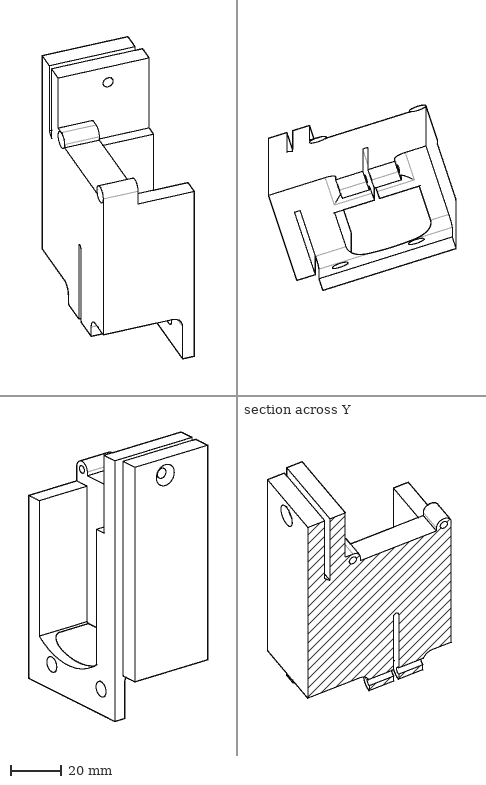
import cadquery as cq
import math

width = 65.9
depth = 39.0
height = 112.7

body_bottom = 20.0
body_top = 83.6
rear_wall_top = 79.1
front_wall = 14.9
arm_right = 17.2
plate_left = 10.1

leaf_thickness = 7.8
leaf_depth = 36.7
gap_floor_high = 81.5
gap_floor_low = 79.3
web_depth = 9.8
fillet_radius = 4.4

cavity_center = 40.6
cavity_half_width = 18.5
cavity_floor = 14.2
cavity_radius = 30.0

plate_thickness = 5.1
plate_hole_diameter = 6.4
plate_hole_xs = (19.0, 50.9)
plate_hole_z = 11.0

foot_left = 28.2
foot_right = 52.9
foot_radius = 4.5
foot_axis_z = body_bottom - fillet_radius
foot_flare_depth = 11.8
split_width = 2.1
split_top = 47.3

screw_diameter = 3.2
boss_diameter = 7.0
boss_z = 85.2
boss_radius = boss_diameter / 2
boss_xs = (arm_right + boss_radius, width - boss_radius)
leaf_screw_diameter = 4.3
leaf_screw_head = 9.0
leaf_screw_y = 21.4
leaf_screw_z = 105.4


def box(x0, x1, y0, y1, z0, z1):
    """Box between two opposite corners."""
    return cq.Workplane("XY").box(x1 - x0, y1 - y0, z1 - z0, centered=False).translate((x0, y0, z0))


def front_sketch():
    """XZ workplane on the front face; negative extrusion runs into the part."""
    return cq.Workplane("XZ")


def circle_point(center_a, center_b, radius, degrees):
    """Point on a circle at the given angle."""
    angle = math.radians(degrees)
    return (center_a + radius * math.cos(angle), center_b + radius * math.sin(angle))


def cone(diameter, hole_diameter, origin, direction):
    """45 degree countersink that narrows to the hole diameter."""
    large = diameter / 2
    small = hole_diameter / 2
    return cq.Workplane(cq.Solid.makeCone(large, small, large - small, cq.Vector(*origin), cq.Vector(*direction)))


def make_body():
    front_block = box(plate_left, width, 0, front_wall, body_bottom, body_top)
    rear_block = box(plate_left, width, front_wall, depth, body_bottom, rear_wall_top)
    arm = box(plate_left, arm_right, 0, depth, body_bottom, height)
    leaf = box(0, plate_left, 0, leaf_depth, body_bottom, height)
    return front_block.union(rear_block).union(arm).union(leaf)


def make_plate():
    """Rear plate with a concave fillet up to the underside of the body."""
    inner_y = depth - plate_thickness
    fillet_y = inner_y - fillet_radius
    return (
        cq.Workplane("YZ", origin=(plate_left, 0, 0))
        .moveTo(depth, 0)
        .lineTo(inner_y, 0)
        .lineTo(inner_y, body_bottom - fillet_radius)
        .threePointArc(
            circle_point(fillet_y, body_bottom - fillet_radius, fillet_radius, 45),
            (fillet_y, body_bottom),
        )
        .lineTo(depth, body_bottom)
        .close()
        .extrude(width - plate_left)
    )


def make_foot():
    """Rounded clamp foot, flared with concave fillets where it meets the body."""
    core = box(foot_left, foot_right, 0, foot_radius, foot_axis_z - foot_radius, body_bottom)
    barrel = (
        cq.Workplane("YZ", origin=(foot_left, 0, 0))
        .center(foot_radius, foot_axis_z)
        .circle(foot_radius)
        .extrude(foot_right - foot_left)
    )
    flare_left = foot_left - fillet_radius
    flare_right = foot_right + fillet_radius
    side_flare = (
        front_sketch()
        .moveTo(flare_left, body_bottom)
        .threePointArc(circle_point(flare_left, foot_axis_z, fillet_radius, 45), (foot_left, foot_axis_z))
        .lineTo(foot_right, foot_axis_z)
        .threePointArc(circle_point(flare_right, foot_axis_z, fillet_radius, 135), (flare_right, body_bottom))
        .close()
        .extrude(-foot_flare_depth)
    )
    back_flare = (
        cq.Workplane("YZ")
        .moveTo(0, foot_axis_z)
        .lineTo(foot_flare_depth - fillet_radius, foot_axis_z)
        .threePointArc(
            circle_point(foot_flare_depth, foot_axis_z, fillet_radius, 135),
            (foot_flare_depth, body_bottom),
        )
        .lineTo(0, body_bottom)
        .close()
        .extrude(width)
    )
    return core.union(barrel).union(side_flare.intersect(back_flare))


def make_boss(x):
    """Screw boss standing on the top of the front wall."""
    barrel = front_sketch().center(x, boss_z).circle(boss_radius).extrude(-front_wall)
    base = box(x - boss_radius, x + boss_radius, 0, front_wall, body_top - boss_radius, boss_z)
    return barrel.union(base)


def cut_leaf_gap(part):
    """Gap behind the leaf: full height at the rear, closed by a round-backed web at the front."""
    upper = (
        front_sketch()
        .moveTo(leaf_thickness, height)
        .lineTo(leaf_thickness, gap_floor_high)
        .lineTo(plate_left, gap_floor_low)
        .lineTo(plate_left, height)
        .close()
        .extrude(-depth)
    )
    round_start_y = web_depth - fillet_radius
    round_center_z = gap_floor_high - fillet_radius
    rear = (
        cq.Workplane("YZ", origin=(leaf_thickness, 0, 0))
        .moveTo(web_depth, 0)
        .lineTo(web_depth, round_center_z)
        .threePointArc(
            circle_point(round_start_y, round_center_z, fillet_radius, 45),
            (round_start_y, gap_floor_high),
        )
        .lineTo(depth, gap_floor_high)
        .lineTo(depth, 0)
        .close()
        .extrude(plate_left - leaf_thickness)
    )
    return part.cut(upper).cut(rear)


def cut_cavity(part):
    sag = cavity_radius - math.sqrt(cavity_radius**2 - cavity_half_width**2)
    left = cavity_center - cavity_half_width
    right = cavity_center + cavity_half_width
    cavity = (
        cq.Workplane("XZ", origin=(0, front_wall, 0))
        .moveTo(left, height)
        .lineTo(left, cavity_floor + sag)
        .threePointArc((cavity_center, cavity_floor), (right, cavity_floor + sag))
        .lineTo(right, height)
        .close()
        .extrude(front_wall - depth)
    )
    return part.cut(cavity)


def cut_split(part):
    """Round-ended slot that splits the front wall and the clamp foot."""
    split_radius = split_width / 2
    end_z = split_top - split_radius
    slot = box(cavity_center - split_radius, cavity_center + split_radius, 0, front_wall, 0, end_z)
    end = front_sketch().center(cavity_center, end_z).circle(split_radius).extrude(-front_wall)
    return part.cut(slot).cut(end)


def cut_holes(part):
    for x in boss_xs:
        hole = front_sketch().center(x, boss_z).circle(screw_diameter / 2).extrude(-front_wall)
        part = part.cut(hole).cut(cone(boss_diameter, screw_diameter, (x, 0, boss_z), (0, 1, 0)))

    for x in plate_hole_xs:
        hole = (
            cq.Workplane("XZ", origin=(x, depth - plate_thickness, plate_hole_z))
            .circle(plate_hole_diameter / 2)
            .extrude(-plate_thickness)
        )
        part = part.cut(hole)

    clamp_hole = cq.Workplane("YZ").center(foot_radius, foot_axis_z).circle(screw_diameter / 2).extrude(width)
    leaf_hole = (
        cq.Workplane("YZ")
        .center(leaf_screw_y, leaf_screw_z)
        .circle(leaf_screw_diameter / 2)
        .extrude(arm_right)
    )
    leaf_sink = cone(leaf_screw_head, leaf_screw_diameter, (0, leaf_screw_y, leaf_screw_z), (1, 0, 0))
    return part.cut(clamp_hole).cut(leaf_hole).cut(leaf_sink)


result = make_body().union(make_plate()).union(make_foot())
for boss_x in boss_xs:
    result = result.union(make_boss(boss_x))
result = result.union(box(arm_right, boss_xs[0], 0, front_wall, body_top, boss_z + boss_radius))
result = cut_leaf_gap(result)
result = cut_cavity(result)
result = cut_split(result)
result = cut_holes(result)